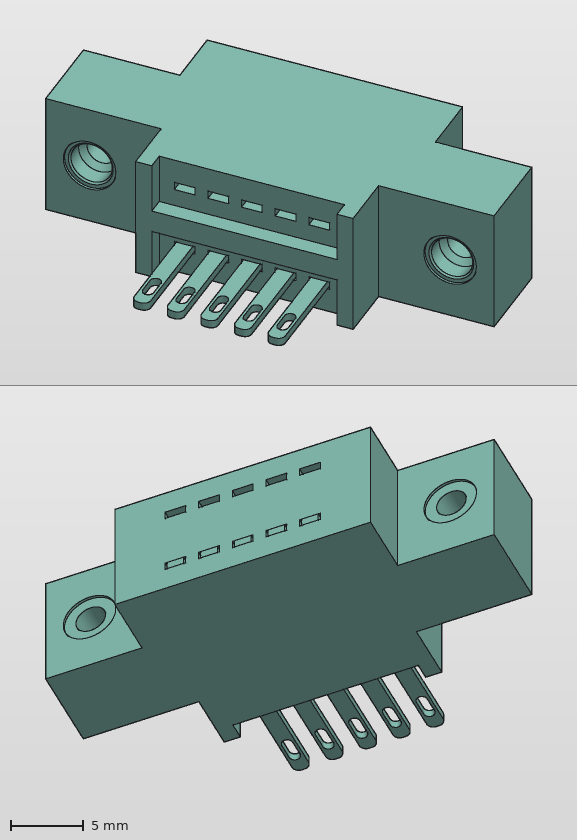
import cadquery as cq


LENGTH = 33.9
HEIGHT = 9.4
EAR_DEPTH = 6.35
REAR_WIDTH = 19.33
REAR_DEPTH = 4.58
FRONT_WIDTH = 16.45
FRONT_DEPTH = 4.27
REAR_Y = EAR_DEPTH + REAR_DEPTH

RECESS_WIDTH = 14.0
RECESS_DEPTH = 1.25
WEB_HEIGHT = 1.73
RECESS_FLOOR_Y = RECESS_DEPTH - FRONT_DEPTH
RECESS_HEIGHT = (HEIGHT - WEB_HEIGHT) / 2
RECESS_Z = (WEB_HEIGHT + RECESS_HEIGHT) / 2

CONTACT_COUNT = 5
PITCH = 2.55
ROW_Z = 2.5
SLOT_WIDTH = 1.55
SLOT_HEIGHT = 0.6
SLOT_LENGTH = REAR_Y - RECESS_FLOOR_Y
CONTACT_XS = [(i - (CONTACT_COUNT - 1) / 2) * PITCH for i in range(CONTACT_COUNT)]

CONTACT_WIDTH = 1.25
CONTACT_THICKNESS = SLOT_HEIGHT
TAIL_LENGTH = 6.3
TIP_RADIUS = 0.5
EYE_WIDTH = 0.8
EYE_LENGTH = 2.05
EYE_FROM_TIP = 2.07
TIP_Y = -FRONT_DEPTH - TAIL_LENGTH
CONTACT_LENGTH = REAR_Y - TIP_Y

INSERT_X = 13.63
INSERT_DIAMETER = 3.97
INSERT_INSET = 0.2
INSERT_LENGTH = EAR_DEPTH - 2 * INSERT_INSET
MOUTH_DIAMETER = 3.4
MOUTH_CHAMFER = 0.15
COUNTERBORE_DIAMETER = MOUTH_DIAMETER - 2 * MOUTH_CHAMFER
COUNTERBORE_END = 1.63
THROUGH_DIAMETER = 2.25
NARROWING = (COUNTERBORE_DIAMETER - THROUGH_DIAMETER) / 2


def block(width, y_start, depth, height, x=0.0, z=0.0):
    """Box centred on x and z that runs back from y_start."""
    return cq.Workplane("XY").box(width, depth, height).translate((x, y_start + depth / 2, z))


def make_housing():
    body = block(LENGTH, 0, EAR_DEPTH, HEIGHT)
    body = body.union(block(REAR_WIDTH, 0, REAR_Y, HEIGHT))
    body = body.union(block(FRONT_WIDTH, -FRONT_DEPTH, FRONT_DEPTH + EAR_DEPTH, HEIGHT))
    for side in (-1, 1):
        body = body.cut(block(RECESS_WIDTH, -FRONT_DEPTH, RECESS_DEPTH, RECESS_HEIGHT, z=side * RECESS_Z))
        for x in CONTACT_XS:
            body = body.cut(block(SLOT_WIDTH, RECESS_FLOOR_Y, SLOT_LENGTH, SLOT_HEIGHT, x, side * ROW_Z))
        bore = cq.Workplane("XZ").center(side * INSERT_X, 0).circle(INSERT_DIAMETER / 2).extrude(-EAR_DEPTH)
        body = body.cut(bore)
    return body


def make_contact(x):
    """Flat contact with rounded tip corners and a wire eye near the tip."""
    blade = block(CONTACT_WIDTH, TIP_Y, CONTACT_LENGTH, CONTACT_THICKNESS)
    blade = blade.edges("|Z and <Y").fillet(TIP_RADIUS)
    eye = (
        cq.Workplane("XY")
        .center(0, TIP_Y + EYE_FROM_TIP)
        .slot2D(EYE_LENGTH, EYE_WIDTH, 90)
        .extrude(CONTACT_THICKNESS, both=True)
    )
    return blade.cut(eye).translate((x, 0, -ROW_Z))


def make_insert(x):
    """Turned sleeve with a chamfered mouth and a bore that narrows to the rear."""
    front = INSERT_INSET
    rear = front + INSERT_LENGTH
    outer_r = INSERT_DIAMETER / 2
    through_r = THROUGH_DIAMETER / 2
    bore_r = COUNTERBORE_DIAMETER / 2
    profile = [
        (outer_r, front),
        (outer_r, rear),
        (through_r, rear),
        (through_r, COUNTERBORE_END + NARROWING),
        (bore_r, COUNTERBORE_END),
        (bore_r, front + MOUTH_CHAMFER),
        (MOUTH_DIAMETER / 2, front),
    ]
    sleeve = cq.Workplane("XY").polyline(profile).close().revolve(360, (0, 0, 0), (0, 1, 0))
    return sleeve.translate((x, 0, 0))


housing = make_housing()
contacts = [make_contact(x).val() for x in CONTACT_XS]
inserts = [make_insert(side * INSERT_X).val() for side in (-1, 1)]

result = cq.Compound.makeCompound([housing.val(), *contacts, *inserts])